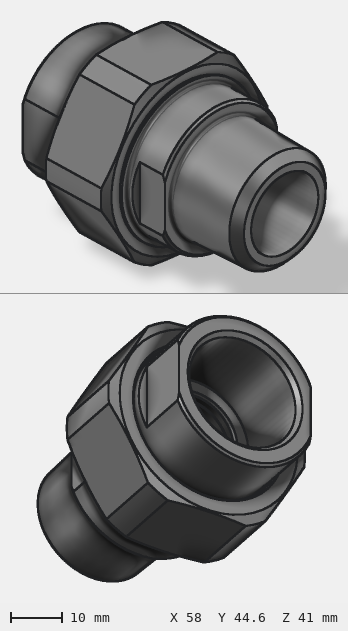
import cadquery as cq
import math

TOTAL_LENGTH = 58.0
SHANK_DIAMETER = 33.0
WRENCH_WIDTH = 29.9
EDGE_CHAMFER = 0.6

SOCKET_DIAMETER = 24.1
SOCKET_DEPTH = 18.55
SOCKET_MOUTH_DIAMETER = 26.1
FEMALE_BORE_DIAMETER = 18.2
FEMALE_BORE_MOUTH_DIAMETER = 19.25
FEMALE_FLAT_END = 12.0

NUT_START = 13.5
NUT_END = 30.5
NUT_ACROSS_FLATS = 41.0
NUT_CORNER_DIAMETER = 44.65
NUT_FACE_DIAMETER = 40.4
NUT_CHAMFER_LENGTH = 0.75
NUT_LIP_THICKNESS = 2.1
NUT_LIP_DIAMETER = 33.5
NUT_LIP_CHAMFER = 0.45

JOINT_DIAMETER = 36.0
FLANGE_THICKNESS = 5.2
FLANGE_START = NUT_START + NUT_LIP_THICKNESS
SEAT_X = FLANGE_START + FLANGE_THICKNESS

MALE_BORE_DIAMETER = 18.0
COLLAR_END = 31.1
COLLAR_FILLET = 0.65
MALE_SHANK_END = 40.0
MALE_FLAT_START = 33.0
SPIGOT_FILLET = 0.65
SPIGOT_LARGE_DIAMETER = 26.8
SPIGOT_SMALL_DIAMETER = 25.85
SPIGOT_CHAMFER = 2.05

SHOULDER_LEAN = 0.5
FLAT_DEPTH = (SHANK_DIAMETER - WRENCH_WIDTH) / 2


def revolve_about_x(profile):
    """Turn a closed (X, radius) profile about the X axis."""
    return profile.close().revolve(360, (0, 0, 0), (1, 0, 0))


def cylinder_x(diameter, start, end):
    return cq.Workplane("YZ", origin=(start, 0, 0)).circle(diameter / 2).extrude(end - start)


def cone_x(start_diameter, end_diameter, start, end):
    profile = (
        cq.Workplane("XY")
        .moveTo(start, 0)
        .lineTo(start, start_diameter / 2)
        .lineTo(end, end_diameter / 2)
        .lineTo(end, 0)
    )
    return revolve_about_x(profile)


def cut_wrench_flats(body, open_end, shoulder, lean):
    """Cut two opposite flats from the open end to a leaning shoulder."""
    inner = WRENCH_WIDTH / 2
    outer = inner + 2 * FLAT_DEPTH
    for side in (-1, 1):
        cutter = (
            cq.Workplane("XY")
            .moveTo(open_end, side * inner)
            .lineTo(shoulder, side * inner)
            .lineTo(shoulder + 2 * lean, side * outer)
            .lineTo(open_end, side * outer)
            .close()
            .extrude(SHANK_DIAMETER / 2, both=True)
        )
        body = body.cut(cutter)
    return body


def make_female_end():
    shank_radius = SHANK_DIAMETER / 2
    profile = (
        cq.Workplane("XY")
        .moveTo(0, 0)
        .lineTo(0, shank_radius - EDGE_CHAMFER)
        .lineTo(EDGE_CHAMFER, shank_radius)
        .lineTo(FLANGE_START, shank_radius)
        .lineTo(FLANGE_START, JOINT_DIAMETER / 2)
        .lineTo(SEAT_X, JOINT_DIAMETER / 2)
        .lineTo(SEAT_X, 0)
    )
    body = cut_wrench_flats(revolve_about_x(profile), 0, FEMALE_FLAT_END, SHOULDER_LEAN)

    socket_chamfer = (SOCKET_MOUTH_DIAMETER - SOCKET_DIAMETER) / 2
    bore_chamfer = (FEMALE_BORE_MOUTH_DIAMETER - FEMALE_BORE_DIAMETER) / 2
    body = body.cut(cylinder_x(SOCKET_DIAMETER, 0, SOCKET_DEPTH))
    body = body.cut(cone_x(SOCKET_MOUTH_DIAMETER, SOCKET_DIAMETER, 0, socket_chamfer))
    body = body.cut(cylinder_x(FEMALE_BORE_DIAMETER, SOCKET_DEPTH, SEAT_X))
    return body.cut(
        cone_x(FEMALE_BORE_MOUTH_DIAMETER, FEMALE_BORE_DIAMETER, SOCKET_DEPTH, SOCKET_DEPTH + bore_chamfer)
    )


def make_nut():
    hexagon = (
        cq.Workplane("YZ", origin=(NUT_START, 0, 0))
        .polygon(6, NUT_ACROSS_FLATS / math.cos(math.pi / 6))
        .extrude(NUT_END - NUT_START)
    )
    blank_profile = (
        cq.Workplane("XY")
        .moveTo(NUT_START, 0)
        .lineTo(NUT_START, NUT_FACE_DIAMETER / 2)
        .lineTo(NUT_START + NUT_CHAMFER_LENGTH, NUT_CORNER_DIAMETER / 2)
        .lineTo(NUT_END - NUT_CHAMFER_LENGTH, NUT_CORNER_DIAMETER / 2)
        .lineTo(NUT_END, NUT_FACE_DIAMETER / 2)
        .lineTo(NUT_END, 0)
    )
    body = hexagon.intersect(revolve_about_x(blank_profile))

    mouth_diameter = NUT_LIP_DIAMETER + 2 * NUT_LIP_CHAMFER
    body = body.cut(cylinder_x(NUT_LIP_DIAMETER, NUT_START, FLANGE_START))
    body = body.cut(cone_x(mouth_diameter, NUT_LIP_DIAMETER, NUT_START, NUT_START + NUT_LIP_CHAMFER))
    return body.cut(cylinder_x(JOINT_DIAMETER, FLANGE_START, NUT_END))


def make_male_end():
    shank_radius = SHANK_DIAMETER / 2
    spigot_radius = SPIGOT_LARGE_DIAMETER / 2
    tip_radius = SPIGOT_SMALL_DIAMETER / 2
    arc_dip = 1 - math.sqrt(0.5)
    collar_dip = COLLAR_FILLET * arc_dip
    spigot_dip = SPIGOT_FILLET * arc_dip
    profile = (
        cq.Workplane("XY")
        .moveTo(SEAT_X, 0)
        .lineTo(SEAT_X, JOINT_DIAMETER / 2)
        .lineTo(COLLAR_END, JOINT_DIAMETER / 2)
        .lineTo(COLLAR_END, shank_radius + COLLAR_FILLET)
        .threePointArc(
            (COLLAR_END + collar_dip, shank_radius + collar_dip),
            (COLLAR_END + COLLAR_FILLET, shank_radius),
        )
        .lineTo(MALE_SHANK_END - EDGE_CHAMFER, shank_radius)
        .lineTo(MALE_SHANK_END, shank_radius - EDGE_CHAMFER)
        .lineTo(MALE_SHANK_END, spigot_radius + SPIGOT_FILLET)
        .threePointArc(
            (MALE_SHANK_END + spigot_dip, spigot_radius + spigot_dip),
            (MALE_SHANK_END + SPIGOT_FILLET, spigot_radius),
        )
        .lineTo(TOTAL_LENGTH - SPIGOT_CHAMFER, tip_radius)
        .lineTo(TOTAL_LENGTH, tip_radius - SPIGOT_CHAMFER)
        .lineTo(TOTAL_LENGTH, 0)
    )
    body = cut_wrench_flats(revolve_about_x(profile), MALE_SHANK_END, MALE_FLAT_START, -SHOULDER_LEAN)
    return body.cut(cylinder_x(MALE_BORE_DIAMETER, SEAT_X, TOTAL_LENGTH))


female_end = make_female_end()
nut = make_nut()
male_end = make_male_end()

result = cq.Compound.makeCompound([female_end.val(), nut.val(), male_end.val()])